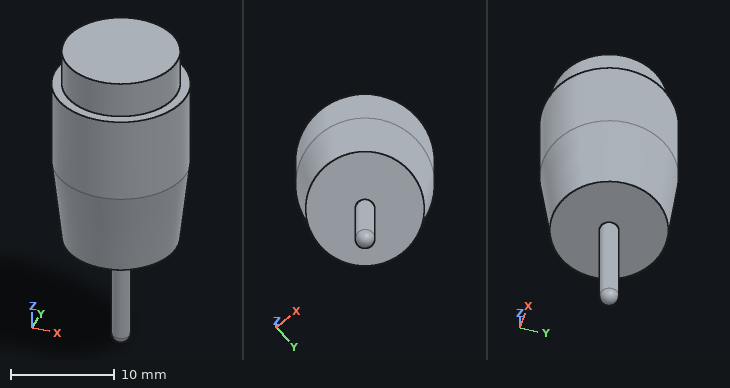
import cadquery as cq

body_diameter = 13.5
end_diameter = 11.5
pin_diameter = 1.9

total_length = 34.0
cap_length = 3.8
body_length = 9.0
taper_length = 9.0
pin_length = total_length - cap_length - body_length - taper_length

body_radius = body_diameter / 2
end_radius = end_diameter / 2
pin_radius = pin_diameter / 2

body_bottom = taper_length
body_top = body_bottom + body_length


def make_taper():
    """Conical sleeve widening upward from the pin shoulder to the body."""
    narrow_end = cq.Workplane("XY").circle(end_radius)
    return narrow_end.workplane(offset=taper_length).circle(body_radius).loft(ruled=True)


def make_body():
    """Straight cylindrical grip."""
    return cq.Workplane("XY").workplane(offset=body_bottom).circle(body_radius).extrude(body_length)


def make_cap():
    """Smaller cylinder on top of the body."""
    return cq.Workplane("XY").workplane(offset=body_top).circle(end_radius).extrude(cap_length)


def make_pin():
    """Thin pin pointing down, with a hemispherical tip."""
    shaft_length = pin_length - pin_radius
    shaft = cq.Workplane("XY").circle(pin_radius).extrude(-shaft_length)
    tip = cq.Workplane("XY").sphere(pin_radius).translate((0, 0, -shaft_length))
    return shaft.union(tip)


result = make_taper().union(make_body()).union(make_cap()).union(make_pin())